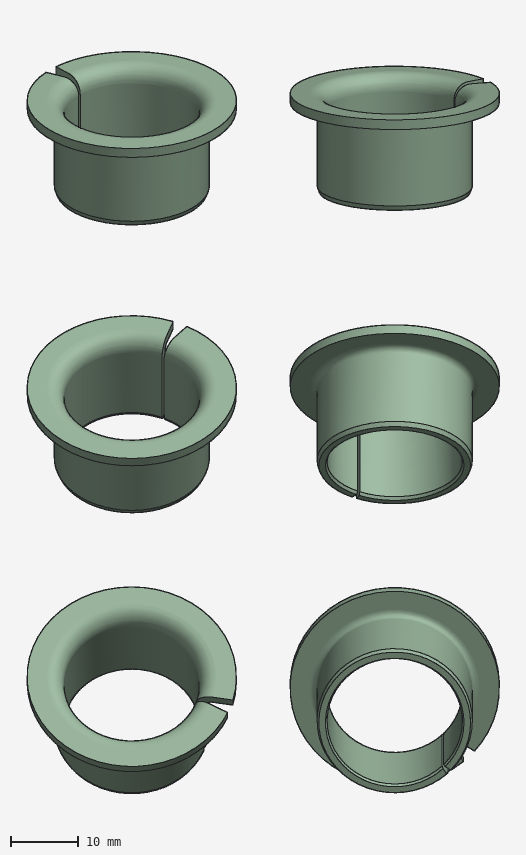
import cadquery as cq
import math

flange_radius = 15.5
height = 15.0
wall = 1.5
bore_radius = 10.0
barrel_radius = bore_radius + wall

outer_bend = 1.0
inner_bend = outer_bend + wall
bend_center_radius = barrel_radius + outer_bend
bend_center_z = height - inner_bend

chamfer_height = 0.75
chamfer_depth = chamfer_height * math.tan(math.radians(20))

bore_chamfer_height = 0.5
bore_chamfer_depth = 0.25

split_half_angle = 10
split_apex_radius = 8.98


def arc_middle(radius):
    """Midpoint of a bend arc, on the side facing the bore and the flange top."""
    offset = radius * math.sqrt(0.5)
    return bend_center_radius - offset, bend_center_z + offset


def make_flanged_sleeve():
    """Revolve the wall section around Z; the section lies in the XZ plane."""
    return (
        cq.Workplane("XZ")
        .moveTo(bore_radius, bore_chamfer_height)
        .lineTo(bore_radius + bore_chamfer_depth, 0)
        .lineTo(barrel_radius - chamfer_depth, 0)
        .lineTo(barrel_radius, chamfer_height)
        .lineTo(barrel_radius, bend_center_z)
        .threePointArc(arc_middle(outer_bend), (bend_center_radius, height - wall))
        .lineTo(flange_radius, height - wall)
        .lineTo(flange_radius, height)
        .lineTo(bend_center_radius, height)
        .threePointArc(arc_middle(inner_bend), (bore_radius, bend_center_z))
        .close()
        .revolve(360, (0, 0, 0), (0, 1, 0))
        .rotate((0, 0, 0), (0, 0, 1), 180)
    )


def make_split():
    """Full-height wedge with its point just inside the bore."""
    end_x = -1.1 * flange_radius
    half_width = (-split_apex_radius - end_x) * math.tan(math.radians(split_half_angle))
    return (
        cq.Workplane("XY")
        .polyline([(-split_apex_radius, 0), (end_x, half_width), (end_x, -half_width)])
        .close()
        .extrude(height)
    )


result = make_flanged_sleeve().cut(make_split())